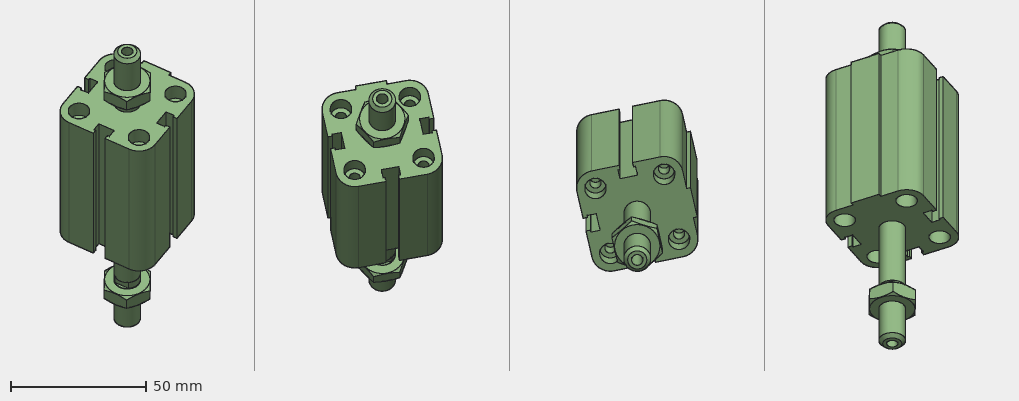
import cadquery as cq
import math

TOTAL_LENGTH = 144.5

HOUSING_SIDE = 40.0
HOUSING_BOTTOM = 52.6
HOUSING_TOP = 117.0
HOLE_OFFSET = 13.0
CORNER_RADIUS = HOUSING_SIDE / 2 - HOLE_OFFSET

STRIP_WIDTH = 11.7
STRIP_HEIGHT = 1.5

SLOT_MOUTH_WIDTH = 5.0
SLOT_INNER_WIDTH = 6.6
SLOT_DEPTH = 5.2
SLOT_LIP = 1.7

COUNTERBORE_DIAMETER = 8.0
COUNTERBORE_DEPTH = 6.5
HOLE_DIAMETER = 4.2
HOLE_DEPTH = 13.1

ROD_DIAMETER = 10.0
ROD_BORE_DIAMETER = 4.2
ROD_CHAMFER = 1.5
NECK_DIAMETER = 9.8
NECK_ACROSS_FLATS = 8.0
NECK_START = 22.3
NECK_END = 25.5

NUT_ACROSS_FLATS = 17.0
NUT_HEIGHT = 6.0
NUT_START = 15.9
NUT_FACE_DIAMETER = 16.8
NUT_CHAMFER_ANGLE = 30.0


def cylinder(diameter, z_start, z_end):
    """Cylinder on the Z axis between two heights."""
    return cq.Workplane("XY").workplane(offset=z_start).circle(diameter / 2).extrude(z_end - z_start)


def make_t_slot():
    """Cutter for the T-slot in the -Y face, full housing length."""
    face_y = -HOUSING_SIDE / 2
    floor_y = face_y + SLOT_DEPTH
    lip_y = face_y + SLOT_LIP
    mouth_x = SLOT_MOUTH_WIDTH / 2
    inner_x = SLOT_INNER_WIDTH / 2
    return (
        cq.Workplane("XY")
        .workplane(offset=HOUSING_BOTTOM)
        .polyline(
            [
                (-mouth_x, face_y),
                (-mouth_x, lip_y),
                (-inner_x, lip_y),
                (-inner_x, floor_y),
                (inner_x, floor_y),
                (inner_x, lip_y),
                (mouth_x, lip_y),
                (mouth_x, face_y),
            ]
        )
        .close()
        .extrude(HOUSING_TOP - HOUSING_BOTTOM)
    )


def drill_mounting_holes(body, face):
    """Blind counterbored holes at the four corners of one end face."""
    return (
        body.faces(face)
        .workplane(origin=(0, 0, 0))
        .rect(2 * HOLE_OFFSET, 2 * HOLE_OFFSET, forConstruction=True)
        .vertices()
        .cboreHole(HOLE_DIAMETER, COUNTERBORE_DIAMETER, COUNTERBORE_DEPTH, depth=HOLE_DEPTH)
    )


def make_housing():
    """Rounded square block with a strip, T-slots, mounting holes and a bore for the rod."""
    length = HOUSING_TOP - HOUSING_BOTTOM
    base = cq.Workplane("XY").workplane(offset=HOUSING_BOTTOM)
    body = base.rect(HOUSING_SIDE, HOUSING_SIDE).extrude(length).edges("|Z").fillet(CORNER_RADIUS)

    strip_outer_y = HOUSING_SIDE / 2 + STRIP_HEIGHT
    strip_inner_y = HOLE_OFFSET
    strip = (
        base.center(0, (strip_outer_y + strip_inner_y) / 2)
        .rect(STRIP_WIDTH, strip_outer_y - strip_inner_y)
        .extrude(length)
    )
    body = body.union(strip)

    slot = make_t_slot()
    for angle in (-90, 0, 90):
        body = body.cut(slot.rotate((0, 0, 0), (0, 0, 1), angle))

    for face in (">Z", "<Z"):
        body = drill_mounting_holes(body, face)

    return body.cut(cylinder(ROD_DIAMETER, HOUSING_BOTTOM, HOUSING_TOP))


def make_neck_relief():
    """Cutter that leaves the two-flat neck near the lower rod end."""
    neck = cylinder(NECK_DIAMETER, NECK_START, NECK_END).intersect(
        cq.Workplane("XY").box(ROD_DIAMETER, NECK_ACROSS_FLATS, 2 * NECK_END)
    )
    return cylinder(2 * ROD_DIAMETER, NECK_START, NECK_END).cut(neck)


def to_upper_end(lower):
    """Mirror image of a lower-end shape at the upper rod end."""
    return lower.mirror("XY", (0, 0, TOTAL_LENGTH / 2))


def make_rod():
    """Through piston rod with chamfered ends, a central bore and a wrench neck at each end."""
    rod = cylinder(ROD_DIAMETER, 0, TOTAL_LENGTH).faces("<Z or >Z").chamfer(ROD_CHAMFER)
    rod = rod.cut(cylinder(ROD_BORE_DIAMETER, 0, TOTAL_LENGTH))
    relief = make_neck_relief()
    return rod.cut(relief).cut(to_upper_end(relief))


def make_nut(end_height):
    """Hexagonal nut near the rod end at end_height, corners along X, both faces chamfered conically."""
    corner_diameter = NUT_ACROSS_FLATS / math.cos(math.radians(30))
    corner_radius = corner_diameter / 2
    face_radius = NUT_FACE_DIAMETER / 2
    chamfer_height = (corner_radius - face_radius) * math.tan(math.radians(NUT_CHAMFER_ANGLE))
    nut_end = NUT_START + NUT_HEIGHT
    hexagon = (
        cq.Workplane("XY").workplane(offset=NUT_START).polygon(6, corner_diameter).extrude(NUT_HEIGHT)
    )
    envelope = (
        cq.Workplane("XZ")
        .polyline(
            [
                (0, NUT_START),
                (face_radius, NUT_START),
                (corner_radius, NUT_START + chamfer_height),
                (corner_radius, nut_end - chamfer_height),
                (face_radius, nut_end),
                (0, nut_end),
            ]
        )
        .close()
        .revolve(360, (0, 0, 0), (0, 1, 0))
    )
    nut = hexagon.intersect(envelope).cut(cylinder(ROD_DIAMETER, NUT_START, nut_end))
    return nut if end_height == 0 else to_upper_end(nut)


housing = make_housing()
rod = make_rod()

nuts = []
for end_height in (0, TOTAL_LENGTH):
    nuts.append(make_nut(end_height))

result = cq.Compound.makeCompound([housing.val(), rod.val(), *[nut.val() for nut in nuts]])